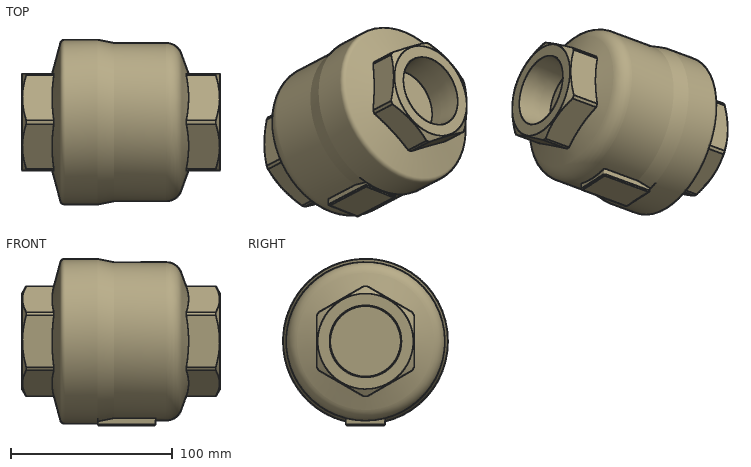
import cadquery as cq
import math

total_length = 122.3
left_end = -total_length / 2
right_end = total_length / 2

cap_radius = 102.0 / 2
barrel_radius = 98.0 / 2
rim_start = left_end + 26.5
taper_start = left_end + 46.7
taper_end = taper_start + 10.0
barrel_end = left_end + 89.0
rim_fillet = 3.0
shoulder_fillet = 10.0
left_cone_angle = math.radians(15.0)
right_cone_angle = math.radians(20.0)
core_radius = 25.0

hex_across_flats = 60.0
hex_turned_radius = 68.0 / 2
hex_face_radius = 59.0 / 2
hex_chamfer_angle = math.radians(30.0)

socket_mouth_radius = 44.5 / 2
socket_inner_radius = 43.5 / 2
socket_taper_depth = 15.0
socket_depth = 23.5

pad_length = 35.8
pad_width = 24.4
pad_bottom = -52.0
pad_top = -40.0
pad_corner = 0.9
pad_bevel = 0.8


def revolve_about_x(profile):
    """Close a half profile along the X axis and turn it into a solid."""
    return profile.close().revolve(360, (0, 0, 0), (1, 0, 0))


def arc_point(center_x, center_r, radius, angle):
    """Point on a circle in the turning profile, where r is the distance from the X axis."""
    return (center_x + radius * math.cos(angle), center_r + radius * math.sin(angle))


def make_body():
    """Turned body: conical faces, rounded shoulders and a barrel necked down from the cap."""
    rim_center_r = cap_radius - rim_fillet
    left_normal = math.pi - left_cone_angle
    rim_low = arc_point(rim_start, rim_center_r, rim_fillet, left_normal)
    rim_mid = arc_point(rim_start, rim_center_r, rim_fillet, (left_normal + math.pi / 2) / 2)
    left_core_x = rim_low[0] - (rim_low[1] - core_radius) * math.tan(left_cone_angle)

    shoulder_center_r = barrel_radius - shoulder_fillet
    shoulder_mid = arc_point(
        barrel_end, shoulder_center_r, shoulder_fillet, (right_cone_angle + math.pi / 2) / 2
    )
    shoulder_low = arc_point(barrel_end, shoulder_center_r, shoulder_fillet, right_cone_angle)
    right_core_x = shoulder_low[0] + (shoulder_low[1] - core_radius) * math.tan(right_cone_angle)

    profile = (
        cq.Workplane("XY")
        .moveTo(left_core_x, 0)
        .lineTo(left_core_x, core_radius)
        .lineTo(*rim_low)
        .threePointArc(rim_mid, (rim_start, cap_radius))
        .lineTo(taper_start, cap_radius)
        .lineTo(taper_end, barrel_radius)
        .lineTo(barrel_end, barrel_radius)
        .threePointArc(shoulder_mid, shoulder_low)
        .lineTo(right_core_x, core_radius)
        .lineTo(right_core_x, 0)
    )
    return revolve_about_x(profile)


def make_hex_bar():
    """Full-length hexagon with flats facing +Y and -Y, corners turned and both ends chamfered."""
    corner_diameter = hex_across_flats / math.cos(math.pi / 6)
    hexagon = (
        cq.Workplane("YZ", origin=(left_end, 0, 0))
        .transformed(rotate=(0, 0, 90))
        .polygon(6, corner_diameter)
        .extrude(total_length)
    )
    chamfer_length = (hex_turned_radius - hex_face_radius) * math.tan(hex_chamfer_angle)
    envelope = (
        cq.Workplane("XY")
        .moveTo(left_end, 0)
        .lineTo(left_end, hex_face_radius)
        .lineTo(left_end + chamfer_length, hex_turned_radius)
        .lineTo(right_end - chamfer_length, hex_turned_radius)
        .lineTo(right_end, hex_face_radius)
        .lineTo(right_end, 0)
    )
    return hexagon.intersect(revolve_about_x(envelope))


def make_socket(end_x, inward):
    """Blind pipe socket: a slightly tapered mouth followed by a straight bore."""
    taper_x = end_x + inward * socket_taper_depth
    floor_x = end_x + inward * socket_depth
    profile = (
        cq.Workplane("XY")
        .moveTo(end_x, 0)
        .lineTo(end_x, socket_mouth_radius)
        .lineTo(taper_x, socket_inner_radius)
        .lineTo(floor_x, socket_inner_radius)
        .lineTo(floor_x, 0)
    )
    return revolve_about_x(profile)


def make_pad():
    """Flat pad under the body with its upright corners rounded and bottom edges bevelled."""
    pad_height = pad_top - pad_bottom
    return (
        cq.Workplane("XY", origin=(taper_start + pad_length / 2, 0, pad_bottom))
        .rect(pad_length, pad_width)
        .extrude(pad_height)
        .edges("|Z")
        .fillet(pad_corner)
        .faces("<Z")
        .edges()
        .chamfer(pad_bevel)
    )


result = make_body().union(make_hex_bar()).union(make_pad())
for end_x, inward in ((left_end, 1), (right_end, -1)):
    result = result.cut(make_socket(end_x, inward))